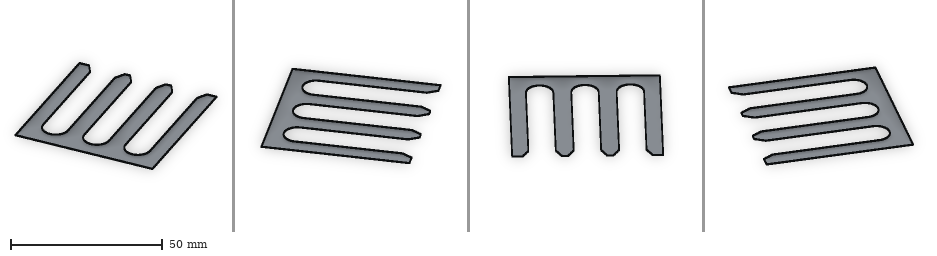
import cadquery as cq

side = 50.0
thickness = 0.25

slot_count = 3
slot_pitch = 15.0
slot_width = 9.0
slot_radius = slot_width / 2
base_width = 5.5

flare_width = 2.0
flare_depth = 3.5

open_edge_y = side / 2
flare_start_y = open_edge_y - flare_depth
slot_bottom_y = -side / 2 + base_width
slot_center_y = slot_bottom_y + slot_radius


def slot_cutter(center_x):
    """Solid of one slot: round bottom, straight walls and flared mouth."""
    left = center_x - slot_radius
    right = center_x + slot_radius
    return (
        cq.Workplane("XY")
        .moveTo(left - flare_width, open_edge_y)
        .lineTo(left, flare_start_y)
        .lineTo(left, slot_center_y)
        .threePointArc((center_x, slot_bottom_y), (right, slot_center_y))
        .lineTo(right, flare_start_y)
        .lineTo(right + flare_width, open_edge_y)
        .close()
        .extrude(thickness)
    )


result = cq.Workplane("XY").rect(side, side).extrude(thickness)

for index in range(slot_count):
    slot_x = (index - (slot_count - 1) / 2) * slot_pitch
    result = result.cut(slot_cutter(slot_x))